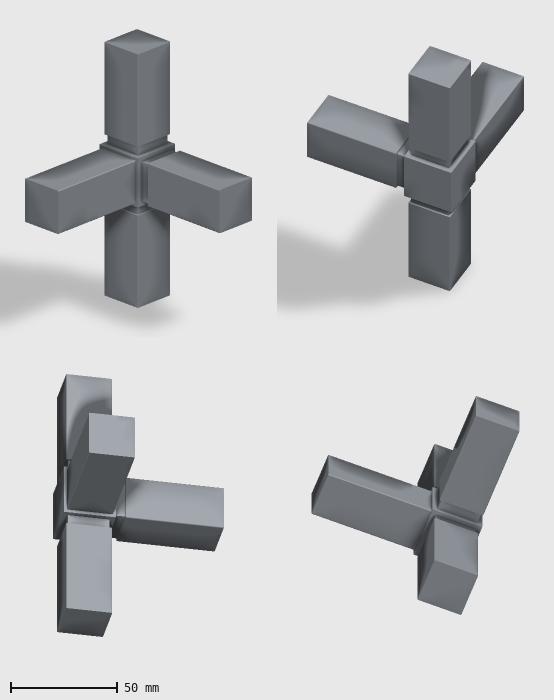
import cadquery as cq

total_height = 129.0
hub_size = 25.0
neck_size = 20.0
neck_length = 5.0
arm_size = 22.0
corner_radius = 0.5

arm_reach = total_height / 2
hub_half = hub_size / 2


def square_bar(direction, start, end, side):
    """Square bar along a direction, between two distances from the hub centre."""
    axis = cq.Vector(*direction)
    across = (0, 1, 0) if direction[0] else (1, 0, 0)
    plane = cq.Plane(origin=(axis * start).toTuple(), xDir=across, normal=direction)
    return cq.Workplane(plane).rect(side, side).extrude(end - start)


def rounded_arm(direction, start):
    """Arm with rounded long edges, running from start to the common reach."""
    arm = square_bar(direction, start, arm_reach, arm_size)
    long_edges = "|" + "XYZ"[[abs(c) for c in direction].index(1)]
    return arm.edges(long_edges).fillet(corner_radius)


def necked_arm(direction):
    """Arm joined to the hub by a narrower neck."""
    neck_end = hub_half + neck_length
    neck = square_bar(direction, hub_half, neck_end, neck_size)
    return neck.union(rounded_arm(direction, neck_end))


result = cq.Workplane("XY").box(hub_size, hub_size, hub_size)

for arm_direction in [(0, 0, 1), (0, 0, -1), (1, 0, 0)]:
    result = result.union(necked_arm(arm_direction))

result = result.union(rounded_arm((0, -1, 0), hub_half))